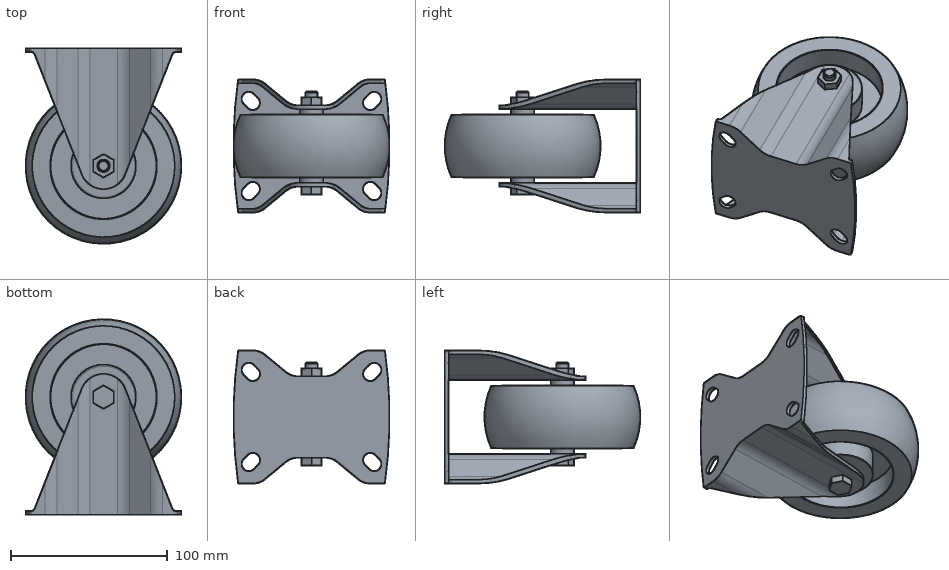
import cadquery as cq
import math


wheel_radius = 49.8
wheel_width = 40.5
tread_edge_radius = 45.5
tread_edge_drop = 0.4
rim_inner_radius = 33.7
hub_radius = 20.7
hub_bevel_width = 0.9
rim_bevel_width = 0.4
bevel_height = 0.1
recess_depth = 15.6

length = 124.9
bracket_height = 85.0
sheet = 2.5
strap_height = 52.1
strap_flat_half = 8.7
bend_radius = 12.1
bend_angle = math.radians(39.5)
tip_radius = 14.9
taper_angle = math.radians(21.5)
root_fillet = 2.5

plate_width = 99.7
plate_end_width = 93.7
plate_corner_radius = 1.0
slot_diameter = 9.0
slot_shift = 2.5
slot_outer_x = 40.0
slot_outer_z = 30.0
slot_angle = 45

spacer_diameter = 15.0
bolt_diameter = 8.0
bolt_end_z = 34.8
bolt_chamfer = 0.9
hex_across_flats = 13.0
hex_height = 5.0

half_height = bracket_height / 2
strap_z = strap_height / 2
plate_back_y = length - wheel_radius
plate_front_y = plate_back_y - sheet
half_wheel = wheel_width / 2

bend_rise = 2 * bend_radius * (1 - math.cos(bend_angle))
flank_length = (half_height - strap_z - bend_rise) / math.sin(bend_angle)
bend_run = 2 * bend_radius * math.sin(bend_angle) + flank_length * math.cos(bend_angle)
shoulder_x = strap_flat_half + bend_run


def on_circle(center, radius, angle):
    """Point at an angle from +X on a circle."""
    return (center[0] + radius * math.cos(angle), center[1] + radius * math.sin(angle))


def bracket_section(inset):
    """Solid bar along Y inside the bracket's outer skin moved inward by inset."""
    end_x = plate_width / 2
    top = half_height - inset
    low_center = (strap_flat_half, strap_z + bend_radius)
    high_center = (shoulder_x, half_height - bend_radius)
    low_radius = bend_radius + inset
    high_radius = bend_radius - inset
    down = -math.pi / 2
    up = math.pi / 2
    quarter = (
        cq.Workplane("XZ", origin=(0, plate_back_y, 0))
        .moveTo(0, 0)
        .lineTo(0, strap_z - inset)
        .lineTo(strap_flat_half, strap_z - inset)
        .threePointArc(
            on_circle(low_center, low_radius, down + bend_angle / 2),
            on_circle(low_center, low_radius, down + bend_angle),
        )
        .lineTo(*on_circle(high_center, high_radius, up + bend_angle))
        .threePointArc(
            on_circle(high_center, high_radius, up + bend_angle / 2),
            (shoulder_x, top),
        )
        .lineTo(end_x, top)
        .lineTo(end_x, 0)
        .close()
        .extrude(length)
    )
    half = quarter.union(quarter.mirror("YZ"))
    return half.union(half.mirror("XY"))


def strap_trim():
    """Solid block that trims the straps: round tip, tapered sides, fillets into the plate."""
    tip_x = tip_radius * math.cos(taper_angle)
    tip_y = -tip_radius * math.sin(taper_angle)
    root_x = tip_x + (plate_front_y - tip_y) * math.tan(taper_angle)
    tangent_length = root_fillet * math.tan((math.pi / 2 - taper_angle) / 2)
    fillet_start = (
        root_x - tangent_length * math.sin(taper_angle),
        plate_front_y - tangent_length * math.cos(taper_angle),
    )
    fillet_end_x = root_x + tangent_length
    half = (
        cq.Workplane("XY", origin=(0, 0, -half_height))
        .moveTo(0, plate_front_y)
        .lineTo(0, -tip_radius)
        .threePointArc(
            on_circle((0, 0), tip_radius, -(math.pi / 2 + taper_angle) / 2),
            (tip_x, tip_y),
        )
        .lineTo(*fillet_start)
        .tangentArcPoint((fillet_end_x, plate_front_y), relative=False)
        .close()
        .extrude(bracket_height)
    )
    return half.union(half.mirror("YZ"))


def mounting_plate(section):
    """Plate filling the bracket section, with bowed ends and four slanted slots."""
    end_x = plate_end_width / 2
    blank = (
        cq.Workplane("XZ", origin=(0, plate_back_y, 0))
        .moveTo(-end_x, -half_height)
        .lineTo(end_x, -half_height)
        .threePointArc((plate_width / 2, 0), (end_x, half_height))
        .lineTo(-end_x, half_height)
        .threePointArc((-plate_width / 2, 0), (-end_x, -half_height))
        .close()
        .extrude(sheet)
        .edges("|Y")
        .fillet(plate_corner_radius)
    )
    plate = blank.intersect(section)
    slot_length = slot_shift * math.sqrt(2) + slot_diameter
    for side_x in (-1, 1):
        for side_z in (-1, 1):
            center_x = side_x * (slot_outer_x - slot_shift / 2)
            center_z = side_z * (slot_outer_z - slot_shift / 2)
            slot = (
                cq.Workplane("XZ", origin=(center_x, plate_back_y, center_z))
                .slot2D(slot_length, slot_diameter, slot_angle * side_x * side_z)
                .extrude(sheet)
            )
            plate = plate.cut(slot)
    return plate


def bracket():
    """Mounting plate with the two bent straps."""
    outer = bracket_section(0)
    straps = outer.cut(bracket_section(sheet)).intersect(strap_trim())
    return mounting_plate(outer).union(straps)


def wheel():
    """Crowned wheel with a recess around the hub on both faces."""
    edge_z = half_wheel - tread_edge_drop
    web_z = half_wheel - recess_depth
    profile = (
        cq.Workplane("XZ")
        .moveTo(0, half_wheel)
        .lineTo(hub_radius - hub_bevel_width, half_wheel)
        .lineTo(hub_radius, half_wheel - bevel_height)
        .lineTo(hub_radius, web_z)
        .lineTo(rim_inner_radius, web_z)
        .lineTo(rim_inner_radius, half_wheel - bevel_height)
        .lineTo(rim_inner_radius + rim_bevel_width, half_wheel)
        .lineTo(tread_edge_radius, edge_z)
        .threePointArc((wheel_radius, 0), (tread_edge_radius, -edge_z))
        .lineTo(rim_inner_radius + rim_bevel_width, -half_wheel)
        .lineTo(rim_inner_radius, -half_wheel + bevel_height)
        .lineTo(rim_inner_radius, -web_z)
        .lineTo(hub_radius, -web_z)
        .lineTo(hub_radius, -half_wheel + bevel_height)
        .lineTo(hub_radius - hub_bevel_width, -half_wheel)
        .lineTo(0, -half_wheel)
        .close()
    )
    return profile.revolve(360, (0, 0, 0), (0, 1, 0))


def axle():
    """Spacers through the hub, hexagons on both straps and the bolt end."""
    spacer_length = strap_height - 2 * sheet
    spacer = cq.Workplane("XY").circle(spacer_diameter / 2).extrude(spacer_length / 2, both=True)
    nut = (
        cq.Workplane("XY", origin=(0, 0, strap_z))
        .polygon(6, hex_across_flats, circumscribed=True)
        .extrude(hex_height)
    )
    bolt_head = nut.mirror("XY")
    bolt = (
        cq.Workplane("XY")
        .circle(bolt_diameter / 2)
        .extrude(bolt_end_z)
        .faces(">Z")
        .chamfer(bolt_chamfer)
    )
    return spacer.union(nut).union(bolt_head).union(bolt)


result = bracket().union(wheel()).union(axle())